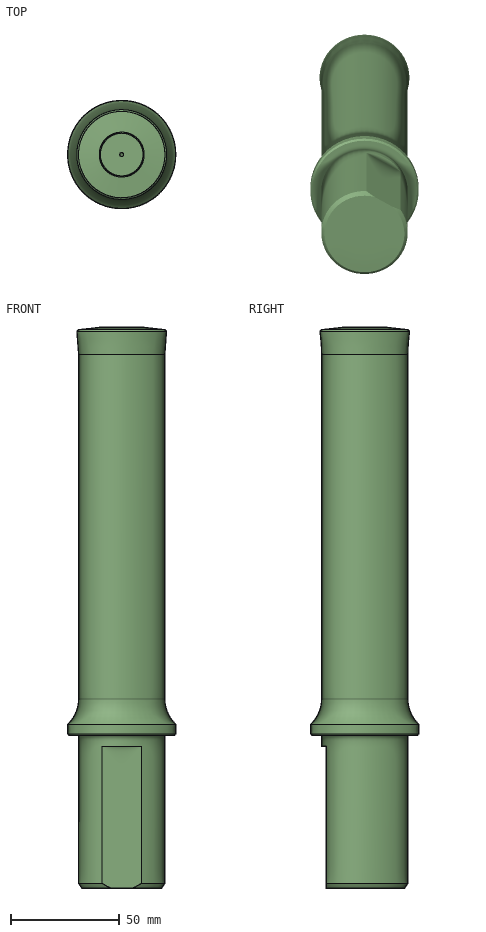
import cadquery as cq
import math

total_height = 259.0
post_radius = 40.0 / 2

collar_radius = 50.0 / 2
collar_bottom = 70.5
collar_rim_top = 75.5
collar_edge_chamfer = 0.8
neck_top = 87.3

foot_chamfer_height = 2.3
foot_chamfer_width = 1.5
flat_top = 65.5
flat_width = 18.1
flat_distance = math.sqrt(post_radius**2 - (flat_width / 2) ** 2)

head_bottom = 246.3
head_radius = 20.7
head_rim_chamfer = 0.8
head_rim_top = 257.7
cap_radius = 10.4
cap_bevel_width = 0.5
cap_bevel_height = 0.3
center_hole_diameter = 1.8
center_hole_depth = 1.3


def tangent_arc_midpoint(start_radius, start_z, end_radius, end_z):
    """Midpoint (radius, z) of an arc that leaves the start point parallel to the axis."""
    radial_run = end_radius - start_radius
    axial_run = end_z - start_z
    arc_radius = (radial_run**2 + axial_run**2) / (2 * radial_run)
    half_angle = math.asin(abs(axial_run) / arc_radius) / 2
    mid_radius = start_radius + arc_radius * (1 - math.cos(half_angle))
    mid_z = start_z + math.copysign(arc_radius * math.sin(half_angle), axial_run)
    return mid_radius, mid_z


def make_post():
    """Post with collar, neck and chamfered foot, turned in one piece."""
    neck_middle = tangent_arc_midpoint(post_radius, neck_top, collar_radius, collar_rim_top)
    return (
        cq.Workplane("XZ")
        .moveTo(0, 0)
        .lineTo(post_radius - foot_chamfer_width, 0)
        .lineTo(post_radius, foot_chamfer_height)
        .lineTo(post_radius, collar_bottom)
        .lineTo(collar_radius - collar_edge_chamfer, collar_bottom)
        .lineTo(collar_radius, collar_bottom + collar_edge_chamfer)
        .lineTo(collar_radius, collar_rim_top)
        .threePointArc(neck_middle, (post_radius, neck_top))
        .lineTo(post_radius, head_bottom)
        .lineTo(0, head_bottom)
        .close()
        .revolve(360, (0, 0), (0, 1))
    )


def cut_foot_flat(post):
    """Mill the flat on the -Y side of the foot, open at the bottom."""
    cutter = cq.Workplane("XY").box(
        2 * post_radius, post_radius, flat_top, centered=(True, False, False)
    )
    return post.cut(cutter.translate((0, -flat_distance - post_radius, 0)))


def make_head():
    """Flared head with a shallow conical top, a bevelled flat cap and a small center hole."""
    flare_top = head_rim_top - head_rim_chamfer
    head = (
        cq.Workplane("XZ")
        .moveTo(0, head_bottom)
        .lineTo(post_radius, head_bottom)
        .lineTo(head_radius, flare_top)
        .lineTo(head_radius - head_rim_chamfer, head_rim_top)
        .lineTo(cap_radius, total_height - cap_bevel_height)
        .lineTo(cap_radius - cap_bevel_width, total_height)
        .lineTo(0, total_height)
        .close()
        .revolve(360, (0, 0), (0, 1))
    )
    return head.faces(">Z").workplane().hole(center_hole_diameter, center_hole_depth)


post = cut_foot_flat(make_post())
head = make_head()

result = cq.Compound.makeCompound([post.val(), head.val()])